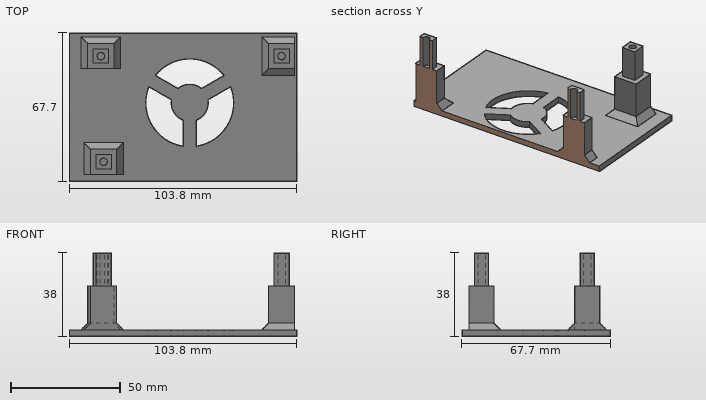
import cadquery as cq

PLATE_LENGTH = 103.85
PLATE_WIDTH = 67.66
PLATE_THICKNESS = 3.0

FAN_X = 3.0
FAN_Y = 2.0
FAN_DIAMETER = 40.0
HUB_DIAMETER = 17.0
SPOKE_WIDTH = 6.0
SPOKE_COUNT = 3
FIRST_SPOKE_ANGLE = 30.0

TOTAL_HEIGHT = 38.0
PIN_LENGTH = 7.0
PIN_WIDTH = 6.5
PIN_HEIGHT = 15.0
SHOULDER = 2.5
FLARE = 3.0
SCREW_HOLE_DIAMETER = 3.4
SCREW_HOLE_DEPTH = PIN_HEIGHT
BLOCK_LENGTH = PIN_LENGTH + 2 * SHOULDER
BLOCK_WIDTH = PIN_WIDTH + 2 * SHOULDER
BLOCK_HEIGHT = TOTAL_HEIGHT - PLATE_THICKNESS - PIN_HEIGHT

LEFT_EDGE_DISTANCE = 14.32
BACK_EDGE_DISTANCE = 10.5
BACK_LEFT_X = -PLATE_LENGTH / 2 + LEFT_EDGE_DISTANCE
BACK_Y = PLATE_WIDTH / 2 - BACK_EDGE_DISTANCE
BACK_SPACING = 82.55
FRONT_SHIFT = 1.27
ROW_SPACING = 48.26
BACK_LEFT = (BACK_LEFT_X, BACK_Y)
BACK_RIGHT = (BACK_LEFT_X + BACK_SPACING, BACK_Y)
FRONT_LEFT = (BACK_LEFT_X + FRONT_SHIFT, BACK_Y - ROW_SPACING)


def block_on(z, length, width, height):
    """Upright rectangular block centred on the Z axis, standing at height z."""
    return cq.Workplane("XY").workplane(offset=z).rect(length, width).extrude(height)


def fan_opening():
    """Cutter for the windows left between the hub and its spokes."""
    window = cq.Workplane("XY").circle(FAN_DIAMETER / 2).extrude(PLATE_THICKNESS)
    window = window.cut(cq.Workplane("XY").circle(HUB_DIAMETER / 2).extrude(PLATE_THICKNESS))
    spoke = (
        cq.Workplane("XY")
        .center(FAN_DIAMETER / 2, 0)
        .rect(FAN_DIAMETER, SPOKE_WIDTH)
        .extrude(PLATE_THICKNESS)
    )
    for index in range(SPOKE_COUNT):
        angle = FIRST_SPOKE_ANGLE + index * 360.0 / SPOKE_COUNT
        window = window.cut(spoke.rotate((0, 0, 0), (0, 0, 1), angle))
    return window.translate((FAN_X, FAN_Y, 0))


def flared_foot(flare_front, flare_right):
    """45 degree foot, always flared at the left and back, optionally at the front and right."""
    foot_left = -BLOCK_LENGTH / 2 - FLARE
    foot_right = BLOCK_LENGTH / 2 + (FLARE if flare_right else 0)
    foot_back = BLOCK_WIDTH / 2 + FLARE
    foot_front = -BLOCK_WIDTH / 2 - (FLARE if flare_front else 0)
    middle_x = (foot_left + foot_right) / 2
    middle_y = (foot_front + foot_back) / 2
    return (
        cq.Workplane("XY")
        .workplane(offset=PLATE_THICKNESS)
        .center(middle_x, middle_y)
        .rect(foot_right - foot_left, foot_back - foot_front)
        .workplane(offset=FLARE)
        .center(-middle_x, -middle_y)
        .rect(BLOCK_LENGTH, BLOCK_WIDTH)
        .loft(ruled=True)
    )


def pillar(position, flare_front=False, flare_right=True):
    """Pillar standing on the plate at the given (x, y) position."""
    block = block_on(PLATE_THICKNESS, BLOCK_LENGTH, BLOCK_WIDTH, BLOCK_HEIGHT)
    pin = block_on(PLATE_THICKNESS + BLOCK_HEIGHT, PIN_LENGTH, PIN_WIDTH, PIN_HEIGHT)
    hole = (
        cq.Workplane("XY")
        .workplane(offset=TOTAL_HEIGHT - SCREW_HOLE_DEPTH)
        .circle(SCREW_HOLE_DIAMETER / 2)
        .extrude(SCREW_HOLE_DEPTH)
    )
    post = block.union(flared_foot(flare_front, flare_right)).union(pin).cut(hole)
    return post.translate((position[0], position[1], 0))


plate = block_on(0, PLATE_LENGTH, PLATE_WIDTH, PLATE_THICKNESS).cut(fan_opening())
result = (
    plate
    .union(pillar(BACK_LEFT))
    .union(pillar(BACK_RIGHT, flare_front=True, flare_right=False))
    .union(pillar(FRONT_LEFT))
)